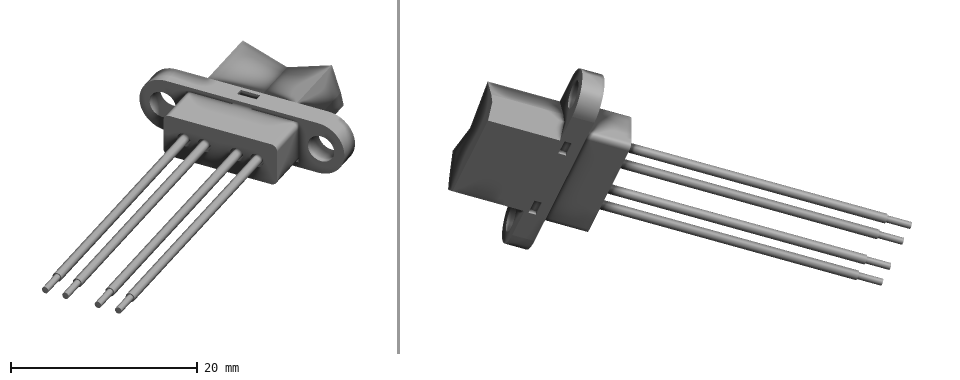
import cadquery as cq


overall_length = 48.8
shell_length = 8.25
flange_thickness = 2.55
cap_rear = 15.9
insulation_end = 46.0
flange_rear = shell_length + flange_thickness

flange_width = 24.65
flange_height = 6.35
screw_hole_diameter = 3.15
screw_hole_spacing = 19.05

shell_half_width = 6.8
shell_shoulder_half_width = 6.45
shell_peak_x = 5.35
shell_valley_z = 1.3
shell_shoulder_z = 0.0
shell_widest_z = -1.55
shell_bottom_half_width = 5.45
shell_top_z = flange_height / 2
shell_bottom_z = -flange_height / 2

cap_width = 13.65
cap_height = 5.15
cap_corner_radius = 0.75
recess_floor_wall = 0.5
recess_floor = shell_length + recess_floor_wall
cap_length = cap_rear - recess_floor
recess_depth = flange_rear - recess_floor

latches = [
    (0.0, 2.35, 1),
    (-4.6, 1.85, -1),
    (4.6, 1.85, -1),
]
latch_height = 0.2
latch_length = 0.9
latch_flat_length = 0.3
latch_clearance = 0.1
latch_rear = recess_floor + latch_length
tab_front = recess_floor + latch_clearance

wire_positions = [-4.4, -1.95, 1.95, 4.4]
wire_hole_diameter = 1.6
insulation_diameter = 1.05
conductor_diameter = 0.8


def plane_at(distance):
    """Sketch plane whose extrusions run toward -Y, starting this far behind the mating face."""
    return cq.Workplane("XZ", origin=(0, -distance, 0))


def latch_block(latch, front, length, inner_z, outer_z):
    """Box across the width of one latch, between two heights on the latch's own side."""
    center_x, width, side = latch
    return (
        plane_at(front)
        .center(center_x, side * (inner_z + outer_z) / 2)
        .rect(width, outer_z - inner_z)
        .extrude(length)
    )


def make_shell():
    """Mating shell with a V-shaped valley along its top."""
    right_side = [
        (shell_peak_x, shell_top_z),
        (shell_shoulder_half_width, shell_shoulder_z),
        (shell_half_width, shell_widest_z),
        (shell_bottom_half_width, shell_bottom_z),
    ]
    left_side = [(-x, z) for x, z in reversed(right_side)]
    outline = [(0, shell_valley_z)] + right_side + left_side
    return plane_at(0).polyline(outline).close().extrude(shell_length)


def make_flange():
    """Round-ended plate with two screw holes."""
    plate = plane_at(shell_length).slot2D(flange_width, flange_height).extrude(flange_thickness)
    screw_holes = (
        plane_at(shell_length)
        .pushPoints([(-screw_hole_spacing / 2, 0), (screw_hole_spacing / 2, 0)])
        .circle(screw_hole_diameter / 2)
        .extrude(flange_thickness)
    )
    return plate.cut(screw_holes)


def make_housing():
    """Shell and flange in one piece, with the square-cornered recess and latch openings."""
    recess = plane_at(recess_floor).rect(cap_width, cap_height).extrude(recess_depth)
    housing = make_shell().union(make_flange()).cut(recess)
    recess_edge = cap_height / 2
    for latch in latches:
        window = latch_block(latch, recess_floor, latch_length, 0, flange_height / 2)
        entry_groove = latch_block(latch, latch_rear, flange_rear - latch_rear, 0, recess_edge + latch_height)
        housing = housing.cut(window).cut(entry_groove)
    return housing


def make_latch_tab(latch):
    """Tab that ramps up from the front of the cap to a short flat and a square rear catch."""
    center_x, opening_width, side = latch
    width = opening_width - 2 * latch_clearance
    base = side * cap_height / 2
    crest = base + side * latch_height
    outline = [
        (-tab_front, 0),
        (-tab_front, base),
        (latch_flat_length - latch_rear, crest),
        (-latch_rear, crest),
        (-latch_rear, 0),
    ]
    return (
        cq.Workplane("YZ", origin=(center_x - width / 2, 0, 0))
        .polyline(outline)
        .close()
        .extrude(width)
    )


def make_cap():
    """Rounded rear block with latch tabs and a clearance hole for each wire."""
    cap = plane_at(recess_floor).rect(cap_width, cap_height).extrude(cap_length)
    cap = cap.edges("|Y").fillet(cap_corner_radius)
    for latch in latches:
        cap = cap.union(make_latch_tab(latch))
    wire_holes = (
        plane_at(recess_floor)
        .pushPoints([(x, 0) for x in wire_positions])
        .circle(wire_hole_diameter / 2)
        .extrude(cap_length)
    )
    return cap.cut(wire_holes)


def make_wire(x):
    """Insulated wire that butts against the recess floor and ends in a bare conductor."""
    insulation = (
        plane_at(recess_floor)
        .center(x, 0)
        .circle(insulation_diameter / 2)
        .extrude(insulation_end - recess_floor)
    )
    conductor = (
        plane_at(insulation_end)
        .center(x, 0)
        .circle(conductor_diameter / 2)
        .extrude(overall_length - insulation_end)
    )
    return insulation.union(conductor)


housing = make_housing()
cap = make_cap()
wires = [make_wire(x) for x in wire_positions]

result = cq.Compound.makeCompound([housing.val(), cap.val(), *[wire.val() for wire in wires]])